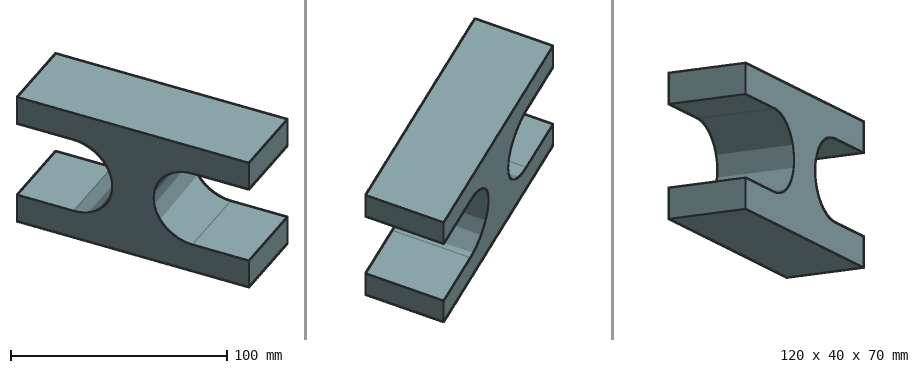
import cadquery as cq

length = 120.0
width = 40.0
height = 70.0

flange_thickness = 15.0
web_thickness = 21.5
slot_height = height - 2 * flange_thickness
slot_radius = slot_height / 2
slot_center_x = web_thickness / 2 + slot_radius


def slot_cutter(side):
    """Slot on the +X (side = 1) or -X (side = -1) end of the block."""
    center_x = side * slot_center_x
    tip_x = side * web_thickness / 2
    end_x = side * length / 2
    return (
        cq.Workplane("XZ")
        .moveTo(end_x, slot_radius)
        .lineTo(center_x, slot_radius)
        .threePointArc((tip_x, 0), (center_x, -slot_radius))
        .lineTo(end_x, -slot_radius)
        .close()
        .extrude(width / 2, both=True)
    )


result = cq.Workplane("XY").box(length, width, height)
for side in (-1, 1):
    result = result.cut(slot_cutter(side))